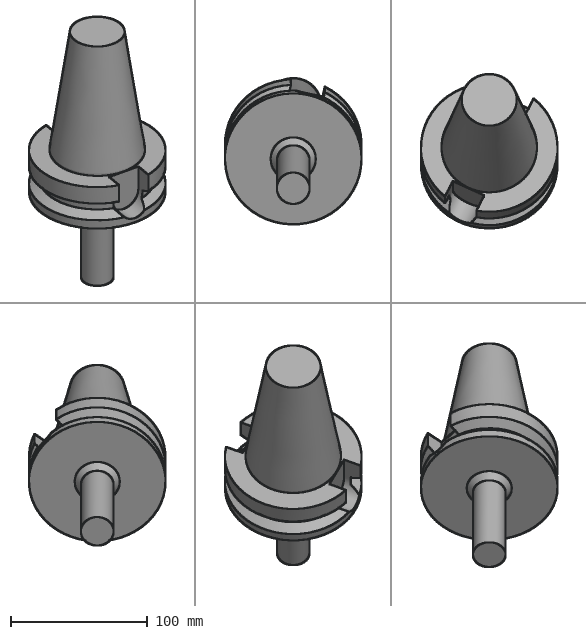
import cadquery as cq

total_height = 214.3

shank_radius = 24.0 / 2
neck_radius = 16.5
neck_bottom = 69.6

flange_radius = 100.0 / 2
flange_bottom = 74.8
lower_rim_top = 82.0
groove_floor_bottom = 86.5
groove_floor_top = 92.8
upper_rim_bottom = 96.6
flange_top = 111.0
groove_floor_radius = 42.5

taper_radius = 69.9 / 2
taper_base = 112.7
taper_ratio = 7 / 24
taper_tip_radius = taper_radius - (total_height - taper_base) * taper_ratio / 2

slot_width = 25.5
slot_bottom = 78.6
slot_face_distance = 35.1


def revolved_body():
    """Turned holder: half profile as (radius, height), spun about Z."""
    half_profile = [
        (0, 0),
        (shank_radius, 0),
        (shank_radius, neck_bottom),
        (neck_radius, flange_bottom),
        (flange_radius, flange_bottom),
        (flange_radius, lower_rim_top),
        (groove_floor_radius, groove_floor_bottom),
        (groove_floor_radius, groove_floor_top),
        (flange_radius, upper_rim_bottom),
        (flange_radius, flange_top),
        (taper_radius, flange_top),
        (taper_radius, taper_base),
        (taper_tip_radius, total_height),
        (0, total_height),
    ]
    return cq.Workplane("XZ").polyline(half_profile).close().revolve(360, (0, 0), (0, 1))


def drive_slot():
    """Cutter for the +X drive slot, from its flat inner face outward."""
    half_width = slot_width / 2
    arc_center_height = slot_bottom + half_width
    return (
        cq.Workplane("YZ", origin=(slot_face_distance, 0, 0))
        .moveTo(-half_width, flange_top)
        .lineTo(-half_width, arc_center_height)
        .threePointArc((0, slot_bottom), (half_width, arc_center_height))
        .lineTo(half_width, flange_top)
        .close()
        .extrude(flange_radius)
    )


result = revolved_body()
for angle in (0, 180):
    result = result.cut(drive_slot().rotate((0, 0, 0), (0, 0, 1), angle))